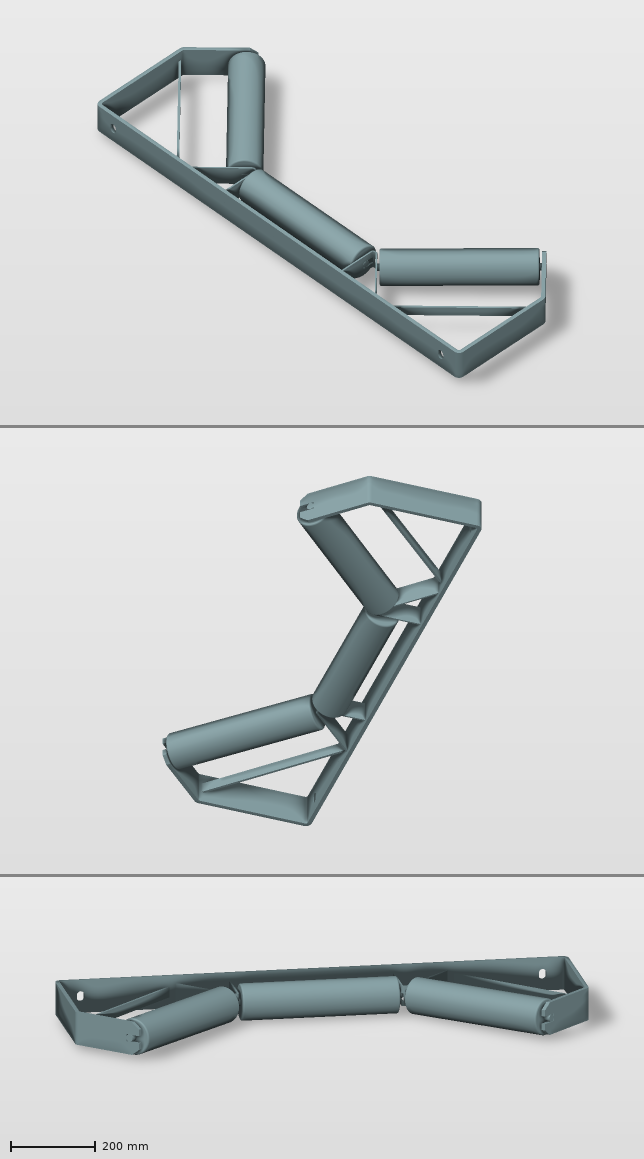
import cadquery as cq
import math

frame_width = 1240.0
bar_height = 80.0
bar_thickness = 10.0
bar_bend_radius = 15.0
wing_chamfer_length = 20.0
wing_chamfer_drop = 15.0
mount_hole_inset = 62.0
mount_hole_width = 18.0
mount_hole_height = 26.0

trough_angle = 45.0
forward_tilt = 1.0
roller_length = 380.0
roller_radius = 44.5
roller_edge_radius = 4.0
roller_gap = 6.0
shaft_diameter = 18.0
slot_width = 18.4
middle_axis_y = 102.0

bracket_thickness = 4.0
bracket_bend_radius = 8.0
bracket_height = 50.0
bracket_bottom_z = 11.0
bracket_top_y = 128.0

brace_thickness = 6.0
brace_height = 25.0
brace_bottom_z = 27.5

bracket_reach = 239.4
axis_rise = -80.0
brace_rise = -239.0
wing_end_rise = -52.55

half_width = frame_width / 2
support_span = roller_length + 2 * roller_gap
wing_inner_reach = bracket_reach + support_span
wing_outer_reach = wing_inner_reach + bar_thickness
middle_support_x = -support_span / 2
outer_axis_z = bar_height / 2
middle_axis_z = outer_axis_z - support_span * math.sin(math.radians(forward_tilt))
slope_cos = math.cos(math.radians(trough_angle))
slope_sin = math.sin(math.radians(trough_angle))
cut_margin = 1.0


def wing_point(reach, rise):
    return (rise * slope_sin - reach * slope_cos, rise * slope_cos + reach * slope_sin)


def point_at_x(reach, x):
    """Point with the given X on the line of constant reach."""
    return wing_point(reach, (x + reach * slope_cos) / slope_sin)


def point_at_y(reach, y):
    """Point with the given Y on the line of constant reach."""
    return wing_point(reach, (y - reach * slope_sin) / slope_cos)


def mirror_point(point):
    return (-point[0], point[1])


def prism(points, bottom_z, height):
    return cq.Workplane("XY").workplane(offset=bottom_z).polyline(points).close().extrude(height)


def wing_block(reaches, rises, bottom_z, height):
    (reach_a, reach_b), (rise_a, rise_b) = reaches, rises
    corners = [
        wing_point(reach_a, rise_a),
        wing_point(reach_b, rise_a),
        wing_point(reach_b, rise_b),
        wing_point(reach_a, rise_b),
    ]
    return prism(corners, bottom_z, height)


def round_corner(body, point, radius, mid_height):
    edge = cq.selectors.NearestToPointSelector((*point, mid_height))
    return body.edges(edge).fillet(radius)


def both_sides(left_body):
    return [left_body.val(), left_body.mirror("YZ").val()]


def make_left_chamfers():
    """Cutters for the upper and lower corner of the left wing's end."""
    wing_face = cq.Plane(
        origin=(*wing_point(wing_inner_reach - cut_margin, wing_end_rise), outer_axis_z),
        xDir=(slope_sin, slope_cos, 0),
        normal=(-slope_cos, slope_sin, 0),
    )
    depth = bar_thickness + 2 * cut_margin
    cutters = []
    for side in (-1, 1):
        edge = side * bar_height / 2
        corner = [(-wing_chamfer_length, edge), (0, edge), (0, edge - side * wing_chamfer_drop)]
        cutters.append(cq.Workplane(wing_face).polyline(corner).close().extrude(depth))
    return cutters


def make_frame():
    def left_line(inset):
        reach = wing_outer_reach - inset
        side_x = inset - half_width
        return [wing_point(reach, wing_end_rise), point_at_x(reach, side_x), (side_x, inset)]

    outside = left_line(0)
    inside = left_line(bar_thickness)
    left_outline = inside[::-1] + outside
    right_outline = [mirror_point(point) for point in reversed(left_outline)]
    frame = prism(left_outline + right_outline, 0, bar_height)

    for line, radius in ((outside, bar_bend_radius), (inside, bar_bend_radius - bar_thickness)):
        for corner in line[1:]:
            for point in (corner, mirror_point(corner)):
                frame = round_corner(frame, point, radius, bar_height / 2)

    for chamfer in make_left_chamfers():
        frame = frame.cut(chamfer).cut(chamfer.mirror("YZ"))

    slot = wing_block(
        (wing_inner_reach - cut_margin, wing_outer_reach + cut_margin),
        (axis_rise - shaft_diameter / 2, wing_end_rise + cut_margin),
        outer_axis_z - slot_width / 2,
        slot_width,
    )
    hole_x = half_width - mount_hole_inset
    mount_holes = (
        cq.Workplane("XZ")
        .pushPoints([(-hole_x, bar_height / 2), (hole_x, bar_height / 2)])
        .slot2D(mount_hole_height, mount_hole_width, 90)
        .extrude(-bar_thickness)
    )
    return frame.cut(slot).cut(slot.mirror("YZ")).cut(mount_holes)


def make_left_bracket():
    back_reach = bracket_reach - bracket_thickness
    back_x = middle_support_x - bracket_thickness
    back_top_y = bracket_top_y - bracket_thickness
    outline = [
        (middle_support_x, bar_thickness),
        (middle_support_x, bracket_top_y),
        point_at_y(bracket_reach, bracket_top_y),
        point_at_y(bracket_reach, bar_thickness),
        point_at_y(back_reach, bar_thickness),
        point_at_y(back_reach, back_top_y),
        (back_x, back_top_y),
        (back_x, bar_thickness),
    ]
    bracket = prism(outline, bracket_bottom_z, bracket_height)
    mid_height = bracket_bottom_z + bracket_height / 2
    bracket = round_corner(bracket, outline[1], bracket_bend_radius, mid_height)
    bracket = round_corner(bracket, outline[6], bracket_bend_radius - bracket_thickness, mid_height)

    slot_lower_z = middle_axis_z - slot_width / 2
    wing_slot = wing_block(
        (back_reach - cut_margin, bracket_reach + cut_margin),
        (axis_rise - shaft_diameter / 2, 0),
        slot_lower_z,
        slot_width,
    )
    slot_bottom_y = middle_axis_y - shaft_diameter / 2
    middle_slot = prism(
        [
            (back_x - cut_margin, slot_bottom_y),
            (middle_support_x + cut_margin, slot_bottom_y),
            (middle_support_x + cut_margin, bracket_top_y + cut_margin),
            (back_x - cut_margin, bracket_top_y + cut_margin),
        ],
        slot_lower_z,
        slot_width,
    )
    return bracket.cut(wing_slot).cut(middle_slot)


def make_left_brace():
    bar = wing_block(
        (0, wing_outer_reach),
        (brace_rise - brace_thickness / 2, brace_rise + brace_thickness / 2),
        brace_bottom_z,
        brace_height,
    )
    inner_x = bar_thickness - half_width
    top_y = point_at_x(wing_inner_reach, inner_x)[1]
    frame_inside = prism(
        [(0, bar_thickness), (inner_x, bar_thickness), (inner_x, top_y), (0, top_y)],
        brace_bottom_z,
        brace_height,
    )
    return bar.intersect(frame_inside)


def make_roller(far_support_thickness):
    """Roller along +X with its near support's face at X = 0; the shaft ends flush with both supports."""
    shell = (
        cq.Workplane("YZ", origin=(roller_gap, 0, 0))
        .circle(roller_radius)
        .extrude(roller_length)
        .edges()
        .fillet(roller_edge_radius)
    )
    shaft = (
        cq.Workplane("YZ", origin=(-bracket_thickness, 0, 0))
        .circle(shaft_diameter / 2)
        .extrude(bracket_thickness + support_span + far_support_thickness)
    )
    return shell.union(shaft)


def make_middle_roller():
    return make_roller(bracket_thickness).translate((middle_support_x, middle_axis_y, middle_axis_z))


def make_left_roller():
    near_support = (*wing_point(bracket_reach, axis_rise), middle_axis_z)
    return (
        make_roller(bar_thickness)
        .rotate((0, 0, 0), (0, 1, 0), -forward_tilt)
        .rotate((0, 0, 0), (0, 0, 1), 180 - trough_angle)
        .translate(near_support)
    )


frame = make_frame()
brackets = both_sides(make_left_bracket())
braces = both_sides(make_left_brace())
middle_roller = make_middle_roller()
wing_rollers = both_sides(make_left_roller())

result = cq.Compound.makeCompound([frame.val(), *brackets, *braces, middle_roller.val(), *wing_rollers])